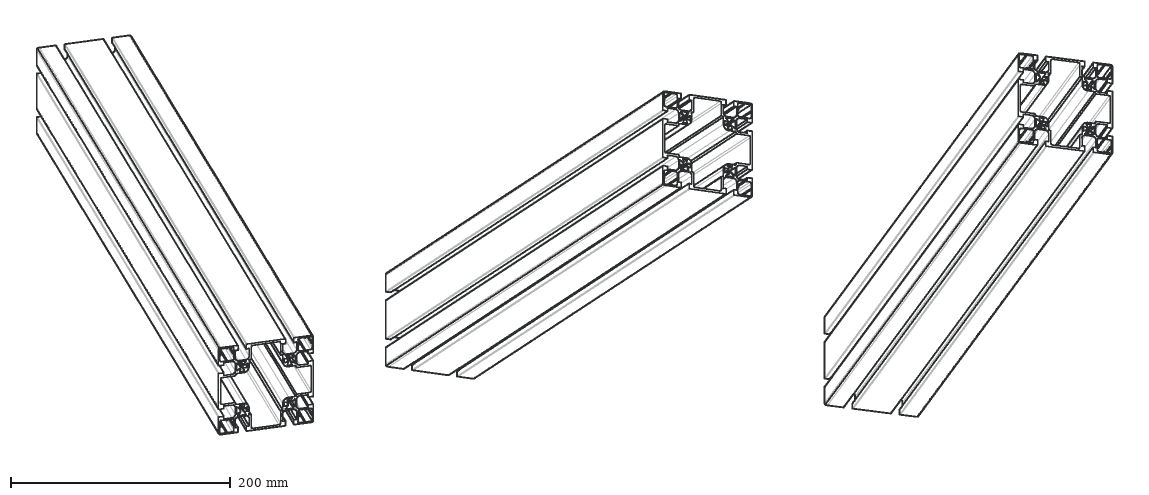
import cadquery as cq

LENGTH = 600.0
SIDE = 90.0
HALF = SIDE / 2
CORNER_RADIUS = 2.5

SLOT_CENTRE = HALF / 2
MOUTH_HALF_WIDTH = 3.95
SLOT_CHAMBER = 13.0
CHAMBER_NEAR_SIDE = SLOT_CENTRE - SLOT_CHAMBER / 2
CHAMBER_FAR_SIDE = SLOT_CENTRE + SLOT_CHAMBER / 2
LIP_DEPTH = 5.1
CHAMBER_HEIGHT = 11.0
SLOT_DEPTH = LIP_DEPTH + CHAMBER_HEIGHT
SLOT_FLOOR_FILLET = 3.1
LIP_RADIUS = 0.5

TUBE_WALL = 1.3
TUBE_FAR_SIDE = CHAMBER_NEAR_SIDE - TUBE_WALL
TUBE_MIDDLE = (TUBE_WALL + TUBE_FAR_SIDE) / 2
TUBE_FILLET = 1.5
RIB_HEIGHT = 0.9
RIB_WIDTH = 1.0

CORE_INNER_FACE = CHAMBER_FAR_SIDE
CORE_RADIUS = 5.7
ARM_ROOT = 1.0
OUTWARD_ARM_LENGTH = 5.2
OUTWARD_ARM_END = 3.85
INWARD_ARM_LENGTH = 5.15
INWARD_ARM_END = 2.2

FACE_WALL = 2.1
CAVITY_WALL = 2.1
CAVITY_SIDE = CORE_INNER_FACE + CAVITY_WALL
CAVITY_FILLET = 1.5
STEP_SLOPE = 0.9
STEP_END = SLOT_DEPTH + STEP_SLOPE

CORNER_EDGE = (0, -HALF, -HALF)
DIAGONAL_NORMAL = (0, 1, -1)
ARC_MIDDLE = 1 - 0.5**0.5


def quarter_plane():
    """Plane across the profile whose coordinates are distances from the corner edge."""
    return cq.Workplane("YZ", origin=CORNER_EDGE)


def block(y_min, y_max, z_min, z_max):
    """Full-length rectangular bar between the given distances from the corner edge."""
    width = y_max - y_min
    height = z_max - z_min
    return quarter_plane().moveTo(y_min, z_min).rect(width, height, centered=False).extrude(LENGTH)


def prism(points):
    """Full-length bar with a polygonal section."""
    return quarter_plane().polyline(points).close().extrude(LENGTH)


def across_diagonal(solid):
    """Mirror image of a solid in the quarter's diagonal plane."""
    return solid.mirror(DIAGONAL_NORMAL, CORNER_EDGE)


def slot():
    """Slot open on the -Z side: a mouth with rounded lips and a wider chamber behind it."""
    left = SLOT_CENTRE - MOUTH_HALF_WIDTH
    right = SLOT_CENTRE + MOUTH_HALF_WIDTH
    lip_arc = LIP_RADIUS * ARC_MIDDLE
    mouth = (
        quarter_plane()
        .moveTo(left - LIP_RADIUS, 0)
        .threePointArc((left - lip_arc, lip_arc), (left, LIP_RADIUS))
        .lineTo(left, LIP_DEPTH)
        .lineTo(right, LIP_DEPTH)
        .lineTo(right, LIP_RADIUS)
        .threePointArc((right + lip_arc, lip_arc), (right + LIP_RADIUS, 0))
        .close()
        .extrude(LENGTH)
    )
    chamber = block(CHAMBER_NEAR_SIDE, CHAMBER_FAR_SIDE, LIP_DEPTH, SLOT_DEPTH)
    return mouth.union(chamber.faces(">Z").edges("|X").fillet(SLOT_FLOOR_FILLET))


def tube_hole():
    """Square hole, sharp at the outer corner and rounded at the others, less its four ribs."""
    hole = block(TUBE_WALL, TUBE_FAR_SIDE, TUBE_WALL, TUBE_FAR_SIDE)
    hole = hole.faces(">Y or >Z").edges("|X").fillet(TUBE_FILLET)
    for wall, tip in (
        (TUBE_WALL, TUBE_WALL + RIB_HEIGHT),
        (TUBE_FAR_SIDE, TUBE_FAR_SIDE - RIB_HEIGHT),
    ):
        rib = prism(
            [
                (TUBE_MIDDLE - RIB_WIDTH / 2, wall),
                (TUBE_MIDDLE, tip),
                (TUBE_MIDDLE + RIB_WIDTH / 2, wall),
            ]
        )
        hole = hole.cut(rib).cut(across_diagonal(rib))
    return hole


def cross_hole():
    """Four arms flaring from the core centre: two toward the slots, two toward the cavity."""
    low = SLOT_CENTRE - ARM_ROOT
    high = SLOT_CENTRE + ARM_ROOT
    hole = block(low, high, low, high)
    for root, end, half_width in (
        (low, SLOT_CENTRE - OUTWARD_ARM_LENGTH, OUTWARD_ARM_END),
        (high, SLOT_CENTRE + INWARD_ARM_LENGTH, INWARD_ARM_END),
    ):
        arm = prism(
            [
                (low, root),
                (SLOT_CENTRE - half_width, end),
                (SLOT_CENTRE + half_width, end),
                (high, root),
            ]
        )
        hole = hole.union(arm).union(across_diagonal(arm))
    return hole


def cavity():
    """One quarter of the central cavity, symmetric about the diagonal plane."""
    core_tangent = CORE_INNER_FACE - CORE_RADIUS
    core_arc = CORE_INNER_FACE - CORE_RADIUS * ARC_MIDDLE
    side_tangent = CAVITY_SIDE + CAVITY_FILLET
    side_arc = CAVITY_SIDE + CAVITY_FILLET * ARC_MIDDLE
    wall_tangent = FACE_WALL + CAVITY_FILLET
    wall_arc = FACE_WALL + CAVITY_FILLET * ARC_MIDDLE
    return (
        quarter_plane()
        .moveTo(HALF, HALF)
        .lineTo(HALF, FACE_WALL)
        .lineTo(side_tangent, FACE_WALL)
        .threePointArc((side_arc, wall_arc), (CAVITY_SIDE, wall_tangent))
        .lineTo(CAVITY_SIDE, SLOT_DEPTH)
        .lineTo(CORE_INNER_FACE, STEP_END)
        .lineTo(CORE_INNER_FACE, core_tangent)
        .threePointArc((core_arc, core_arc), (core_tangent, CORE_INNER_FACE))
        .lineTo(STEP_END, CORE_INNER_FACE)
        .lineTo(SLOT_DEPTH, CAVITY_SIDE)
        .lineTo(wall_tangent, CAVITY_SIDE)
        .threePointArc((wall_arc, side_arc), (FACE_WALL, side_tangent))
        .lineTo(FACE_WALL, HALF)
        .close()
        .extrude(LENGTH)
    )


def quarter():
    """The -Y -Z quarter of the profile."""
    body = block(0, HALF, 0, HALF)
    body = body.faces("<Y").edges("<Z").fillet(CORNER_RADIUS)
    body = body.cut(slot()).cut(across_diagonal(slot()))
    return body.cut(tube_hole()).cut(cross_hole()).cut(cavity())


half = quarter()
half = half.union(half.mirror("XZ"))
result = half.union(half.mirror("XY")).clean()